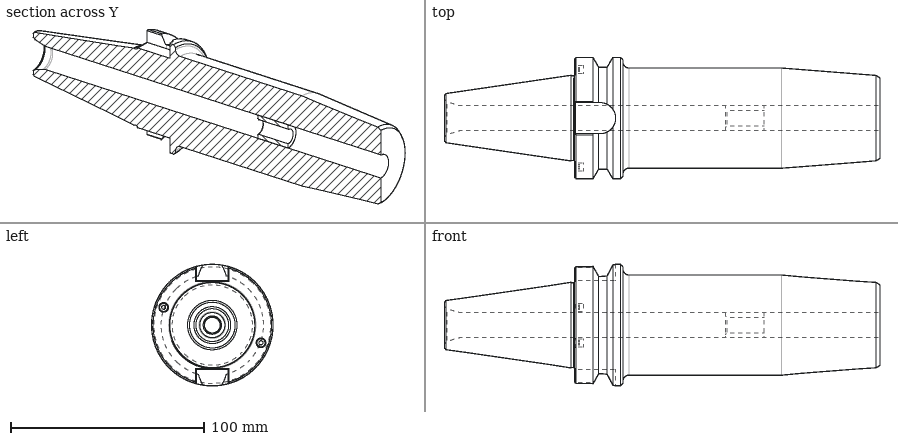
import cadquery as cq
import math


GAUGE_DIAMETER = 44.45
TAPER_LENGTH = 65.41
TAPER_END_DIAMETER = 25.36
TAPER_END_CHAMFER = 0.85
RELIEF_DIAMETER = 43.94
RELIEF_FILLET = 0.6

FLANGE_DIAMETER = 63.0
FLANGE_FRONT_X = 2.0
FLANGE_BACK_X = 27.0
FLANGE_FRONT_CHAMFER = 0.8
FLANGE_BACK_CHAMFER = 1.3
GROOVE_CENTER_X = 16.6
GROOVE_DIAMETER = 53.0
GROOVE_FLOOR_WIDTH = 4.4
GROOVE_FLANK_ANGLE = 30.0
GROOVE_FLANK_RUN = (FLANGE_DIAMETER - GROOVE_DIAMETER) / 2 * math.tan(math.radians(GROOVE_FLANK_ANGLE))
GROOVE_MOUTH_WIDTH = GROOVE_FLOOR_WIDTH + 2 * GROOVE_FLANK_RUN

SLOT_WIDTH = 16.1
SLOT_LENGTH = 21.2
SLOT_FLOOR_HEIGHT = 23.0
SLOT_SIDE_CHAMFER = 0.6
SLOT_FLOOR_CHAMFER = 0.5
SLOT_FRONT_CHAMFER_DEPTH = 0.3
SLOT_ANGLES = (0, 180)

BODY_DIAMETER = 52.0
BODY_FILLET = 3.0
NOSE_START_X = 109.0
NOSE_END_X = 160.0
NOSE_END_DIAMETER = 44.0
NOSE_CHAMFER_LENGTH = 2.0
NOSE_CHAMFER_DEPTH = 1.2

MOUTH_DIAMETER = 19.1
MOUTH_DEPTH = 1.4
PILOT_DIAMETER = 17.0
PILOT_END_DIAMETER = 13.8
PILOT_END_DEPTH = 6.5
MAIN_BORE_DIAMETER = 13.0
MAIN_BORE_CHAMFER_LENGTH = 1.4

STOP_SCREW_LENGTH = 20.0
STOP_SCREW_SETBACK = 60.0
STOP_SCREW_BORE_DIAMETER = 8.1
STOP_SCREW_CHAMFER = 0.7

SCREW_DIAMETER = 4.2
SCREW_LENGTH = 4.0
SCREW_RECESS = 0.5
SCREW_HOLE_MOUTH_DIAMETER = 5.0
SCREW_CIRCLE_DIAMETER = 53.6
SCREW_ANGLES = (20, 200)
SOCKET_ACROSS_FLATS = 2.0
SOCKET_DEPTH = 2.0


def revolve_about_x(outline):
    """Turns a closed outline of (x, radius) points into a solid round the X axis."""
    return cq.Workplane("XY").polyline(outline).close().revolve(360, (0, 0, 0), (1, 0, 0))


def round_blank():
    """The turned outside of the holder, without bore or slots."""
    taper_end_radius = TAPER_END_DIAMETER / 2
    gauge_radius = GAUGE_DIAMETER / 2
    taper_slope = (gauge_radius - taper_end_radius) / TAPER_LENGTH
    flange_radius = FLANGE_DIAMETER / 2
    groove_radius = GROOVE_DIAMETER / 2
    body_radius = BODY_DIAMETER / 2
    nose_radius = NOSE_END_DIAMETER / 2
    relief_radius = RELIEF_DIAMETER / 2

    floor_half = GROOVE_FLOOR_WIDTH / 2
    mouth_half = GROOVE_MOUTH_WIDTH / 2
    nose_slope = (body_radius - nose_radius) / (NOSE_END_X - NOSE_START_X)
    fillet_middle = BODY_FILLET * (1 - math.sqrt(0.5))
    relief_middle = RELIEF_FILLET * (1 - math.sqrt(0.5))

    outline = (
        cq.Workplane("XY")
        .moveTo(-TAPER_LENGTH, 0)
        .lineTo(-TAPER_LENGTH, taper_end_radius - TAPER_END_CHAMFER)
        .lineTo(-TAPER_LENGTH + TAPER_END_CHAMFER, taper_end_radius + taper_slope * TAPER_END_CHAMFER)
        .lineTo(0, gauge_radius)
        .lineTo(0, relief_radius)
        .lineTo(FLANGE_FRONT_X - RELIEF_FILLET, relief_radius)
        .threePointArc(
            (FLANGE_FRONT_X - relief_middle, relief_radius + relief_middle),
            (FLANGE_FRONT_X, relief_radius + RELIEF_FILLET),
        )
        .lineTo(FLANGE_FRONT_X, flange_radius - FLANGE_FRONT_CHAMFER)
        .lineTo(FLANGE_FRONT_X + FLANGE_FRONT_CHAMFER, flange_radius)
        .lineTo(GROOVE_CENTER_X - mouth_half, flange_radius)
        .lineTo(GROOVE_CENTER_X - floor_half, groove_radius)
        .lineTo(GROOVE_CENTER_X + floor_half, groove_radius)
        .lineTo(GROOVE_CENTER_X + mouth_half, flange_radius)
        .lineTo(FLANGE_BACK_X - FLANGE_BACK_CHAMFER, flange_radius)
        .lineTo(FLANGE_BACK_X, flange_radius - FLANGE_BACK_CHAMFER)
        .lineTo(FLANGE_BACK_X, body_radius + BODY_FILLET)
        .threePointArc(
            (FLANGE_BACK_X + fillet_middle, body_radius + fillet_middle),
            (FLANGE_BACK_X + BODY_FILLET, body_radius),
        )
        .lineTo(NOSE_START_X, body_radius)
        .lineTo(NOSE_END_X - NOSE_CHAMFER_LENGTH, nose_radius + nose_slope * NOSE_CHAMFER_LENGTH)
        .lineTo(NOSE_END_X, nose_radius - NOSE_CHAMFER_DEPTH)
        .lineTo(NOSE_END_X, 0)
        .close()
    )
    return outline.revolve(360, (0, 0, 0), (1, 0, 0))


def axial_bore():
    """Cutter for the bore: flared mouth, tapering pilot and straight main bore to the nose end."""
    main_radius = MAIN_BORE_DIAMETER / 2
    pilot_end_x = -TAPER_LENGTH + PILOT_END_DEPTH
    return revolve_about_x([
        (-TAPER_LENGTH, 0),
        (-TAPER_LENGTH, MOUTH_DIAMETER / 2),
        (-TAPER_LENGTH + MOUTH_DEPTH, PILOT_DIAMETER / 2),
        (pilot_end_x, PILOT_END_DIAMETER / 2),
        (pilot_end_x + MAIN_BORE_CHAMFER_LENGTH, main_radius),
        (NOSE_END_X, main_radius),
        (NOSE_END_X, 0),
    ])


def drive_slot():
    """Cutter for the slot at the top of the flange, with its edge chamfers."""
    half_width = SLOT_WIDTH / 2
    slot_end_x = FLANGE_FRONT_X + SLOT_LENGTH
    arc_start_x = slot_end_x - half_width
    flange_radius = FLANGE_DIAMETER / 2
    slot = (
        cq.Workplane("XY", origin=(0, 0, SLOT_FLOOR_HEIGHT))
        .moveTo(0, -half_width)
        .lineTo(arc_start_x, -half_width)
        .threePointArc((slot_end_x, 0), (arc_start_x, half_width))
        .lineTo(0, half_width)
        .close()
        .extrude(flange_radius)
    )

    outer_half = half_width + SLOT_SIDE_CHAMFER
    chamfer_top = math.sqrt(flange_radius**2 - outer_half**2)
    chamfer_bottom = chamfer_top - SLOT_SIDE_CHAMFER
    land_length = GROOVE_CENTER_X - GROOVE_MOUTH_WIDTH / 2 - FLANGE_FRONT_X
    land_chamfer = (
        cq.Workplane("YZ", origin=(FLANGE_FRONT_X, 0, 0))
        .moveTo(-half_width, chamfer_bottom)
        .lineTo(half_width, chamfer_bottom)
        .lineTo(outer_half, chamfer_top)
        .lineTo(outer_half, flange_radius)
        .lineTo(-outer_half, flange_radius)
        .lineTo(-outer_half, chamfer_top)
        .close()
        .extrude(land_length)
    )

    front_chamfer = (
        cq.Workplane("YZ", origin=(FLANGE_FRONT_X, 0, 0))
        .center(0, SLOT_FLOOR_HEIGHT - SLOT_FLOOR_CHAMFER + flange_radius / 2)
        .rect(2 * outer_half, flange_radius)
        .workplane(offset=SLOT_FRONT_CHAMFER_DEPTH)
        .center(0, SLOT_FLOOR_CHAMFER)
        .rect(SLOT_WIDTH, flange_radius)
        .loft(ruled=True)
    )
    return slot.union(land_chamfer).union(front_chamfer)


def screw_hole():
    """Cutter for a blind screw hole on the X axis, countersunk at the flange front."""
    mouth_radius = SCREW_HOLE_MOUTH_DIAMETER / 2
    hole_radius = SCREW_DIAMETER / 2
    hole_end_x = FLANGE_FRONT_X + SCREW_RECESS + SCREW_LENGTH
    return revolve_about_x([
        (FLANGE_FRONT_X, 0),
        (FLANGE_FRONT_X, mouth_radius),
        (FLANGE_FRONT_X + mouth_radius - hole_radius, hole_radius),
        (hole_end_x, hole_radius),
        (hole_end_x, 0),
    ])


def sealing_screw():
    """A headless screw on the X axis with a hexagon socket in its front end."""
    front = cq.Workplane("YZ", origin=(FLANGE_FRONT_X + SCREW_RECESS, 0, 0))
    body = front.circle(SCREW_DIAMETER / 2).extrude(SCREW_LENGTH)
    across_corners = SOCKET_ACROSS_FLATS / math.cos(math.radians(30))
    socket = front.polygon(6, across_corners).extrude(SOCKET_DEPTH)
    return body.cut(socket)


def hollow_stop_screw():
    """A sleeve-like screw filling the main bore, with a chamfered hole along its axis."""
    outer_radius = MAIN_BORE_DIAMETER / 2
    hole_radius = STOP_SCREW_BORE_DIAMETER / 2
    end_x = NOSE_END_X - STOP_SCREW_SETBACK
    start_x = end_x - STOP_SCREW_LENGTH
    return revolve_about_x([
        (start_x, hole_radius + STOP_SCREW_CHAMFER),
        (start_x, outer_radius),
        (end_x, outer_radius),
        (end_x, hole_radius),
        (start_x + STOP_SCREW_CHAMFER, hole_radius),
    ])


def at_screw_place(shape, angle):
    """Moves a shape from the X axis to its place on the screw circle."""
    moved = shape.translate((0, SCREW_CIRCLE_DIAMETER / 2, 0))
    return moved.rotate((0, 0, 0), (1, 0, 0), angle)


holder = round_blank().cut(axial_bore())
for slot_angle in SLOT_ANGLES:
    holder = holder.cut(drive_slot().rotate((0, 0, 0), (1, 0, 0), slot_angle))
for screw_angle in SCREW_ANGLES:
    holder = holder.cut(at_screw_place(screw_hole(), screw_angle))

sealing_screws = [at_screw_place(sealing_screw(), angle).val() for angle in SCREW_ANGLES]

stop_screw = hollow_stop_screw()

result = cq.Compound.makeCompound([holder.val(), stop_screw.val(), *sealing_screws])